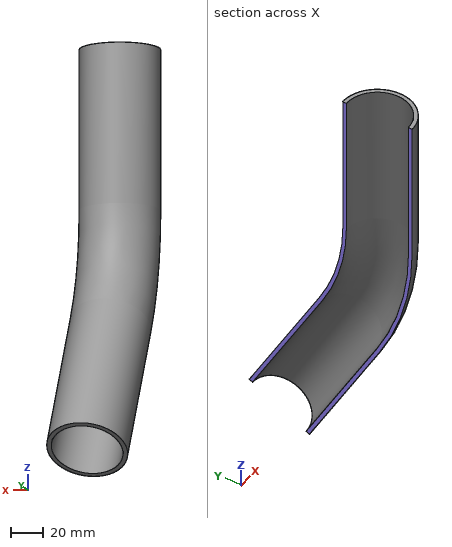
import cadquery as cq
import math

outer_diameter = 50.7
inner_diameter = 44.8
overall_height = 278.5
bend_angle = math.radians(30)
bend_radius = 3 * outer_diameter

bend_height = bend_radius * math.sin(bend_angle)
end_face_drop = outer_diameter / 2 * math.sin(bend_angle)
leg_length = (overall_height - bend_height - end_face_drop) / (1 + math.cos(bend_angle))


def point_on_bend(angle):
    """Centreline point (Y, Z) after turning by angle; the bend starts at the origin."""
    return (bend_radius * (1 - math.cos(angle)), -bend_radius * math.sin(angle))


bend_end_y, bend_end_z = point_on_bend(bend_angle)
lower_end = (
    bend_end_y + leg_length * math.sin(bend_angle),
    bend_end_z - leg_length * math.cos(bend_angle),
)
centreline = (
    cq.Workplane("YZ")
    .moveTo(0, leg_length)
    .lineTo(0, 0)
    .threePointArc(point_on_bend(bend_angle / 2), (bend_end_y, bend_end_z))
    .lineTo(*lower_end)
)

result = (
    cq.Workplane("XY")
    .workplane(offset=leg_length)
    .circle(outer_diameter / 2)
    .circle(inner_diameter / 2)
    .sweep(centreline)
)